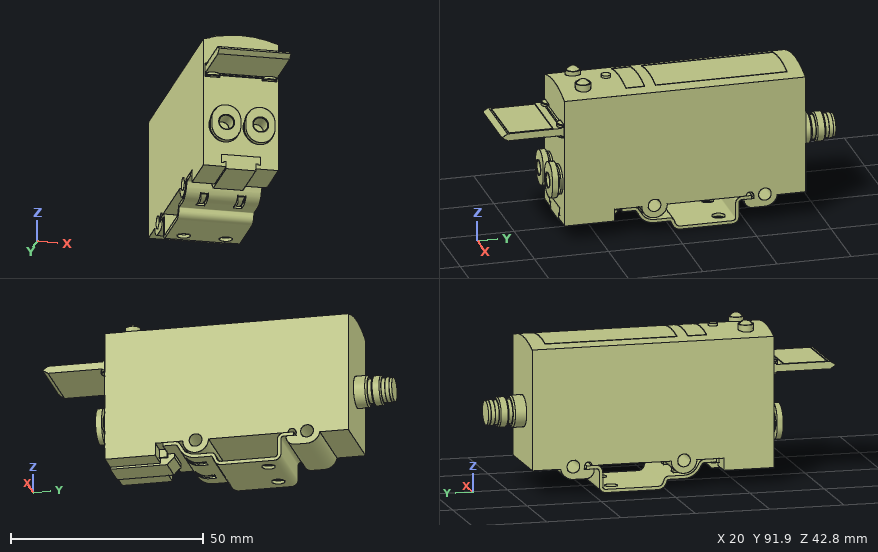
import cadquery as cq
import math


width = 20.0
half_width = width / 2
length = 65.1
edge_z = 35.6
crown_z = 37.2
ledge = 0.3
foot_z = 0.55
foot_length = 13.5
belly_z = 3.9
rear_belly_z = 3.3

lug_hole_diameter = 3.4
lug_radius = 3.45
lug_z = belly_z
front_lug_y = 24.3
rear_lug_y = 54.0
hook_bottom_z = lug_z - lug_radius
hook_tip_y = 48.4
hook_tip_radius = 2.3
hook_slot_end_y = 51.1
hook_relief_diameter = 2.0
hook_relief_y = 50.0

panel_width = 14.1
panel_depth = 0.1
panel_spans = [(17.4, 22.4), (25.4, 60.8)]
button_diameter = 4.0
button_spacing = 9.9
button_y = 6.3
button_rim_z = 38.2
button_ledge = 0.3
button_top_z = 39.2
lamp_diameter = 2.5
lamp_y = 13.9
lamp_top_z = 37.9

shelf_width = 19.2
shelf_z = 26.9
shelf_thickness = 2.0
shelf_reach = 16.8
shelf_bevel_length = 1.6
shelf_root_thickness = 2.6
shelf_root_reach = 0.8
shelf_root_chamfer = 0.23
ear_chord = 4.0
ear_bulge = 1.5
ear_height = 3.7
ear_chamfer = 0.2
label_width = 18.0
label_near = 2.85
label_far = 14.7
label_depth = 0.2

port_spacing = 9.1
port_z = 11.8
port_hole_diameter = 3.9
port_hole_chamfer = 0.2
port_hole_depth = 5.5
port_collar_diameter = 8.0
port_collar_reach = 0.55
port_neck_diameter = 5.2
port_cap_width = 7.7
port_cap_height = 9.7
port_cap_near = 1.2
port_cap_far = 3.1
port_cap_fall = 0.4

overall_length = 91.9
connector_z = 17.3
connector_length = overall_length - shelf_reach - length
connector_core_diameter = 6.5
connector_base_diameter = 8.5
connector_base_length = 3.5
connector_base_chamfer = 0.5
connector_collar_diameter = 8.0
connector_collar_start = 4.6
connector_collar_length = 2.6
connector_collar_chamfer = 0.4
connector_ridge_diameter = 6.9
connector_ridge_start = 8.2
connector_ridge_length = 1.3
connector_ridge_lead = 0.6

latch_stem_width = 7.9
latch_head_width = 10.3
latch_lip_width = 0.55
latch_lip_drop = 0.3
latch_head_bottom_z = 1.9
latch_head_length = 15.5
latch_length = 17.2
latch_nose_bevel = 1.9

strip_thickness = 0.9
strip_bottom_z = -3.6
strip_step_z = -1.0
strip_rear_y = 50.45
strip_drop_y = 46.6
strip_ramp_bottom_y = 30.0
strip_ramp_top_y = 28.95
strip_bend_radius = 1.3
strip_ramp_radius = 1.9
strip_step_radius = 0.7
strip_lug_turn = 60
strip_hole_diameter = 3.4
strip_hole_spacing = 11.2
strip_hole_y = 42.7

pad_spacing = 9.9
pad_width = 2.2
pad_tip_width = 1.1
pad_front_y = 20.95
pad_rear_y = 26.1
pad_taper_z = 0.9
pad_clearance = 0.2
pad_radius = lug_z - strip_step_z - pad_clearance


def box(x_size, y_range, z_range, x_mid=0.0):
    """Box centred on x_mid that spans the given Y and Z ranges."""
    y0, y1 = y_range
    z0, z1 = z_range
    block = cq.Workplane("XY").box(x_size, y1 - y0, z1 - z0, centered=(True, False, False))
    return block.translate((x_mid, y0, z0))


def disc(diameter, x, y, z_range):
    """Upright cylinder."""
    z0, z1 = z_range
    return cq.Workplane("XY").center(x, y).circle(diameter / 2).extrude(z1 - z0).translate((0, 0, z0))


def cross_rod(diameter, y, z):
    """Cylinder across the full housing width."""
    return cq.Workplane("YZ").center(y, z).circle(diameter / 2).extrude(half_width, both=True)


def side_prism(profile, prism_width):
    """Extrude a closed YZ profile evenly to both sides of the mid-plane."""
    return profile.extrude(prism_width / 2, both=True)


def lug_pad(x):
    """Tapered pad on the front lug, rounded about the lug axis."""
    half = pad_width / 2
    half_tip = pad_tip_width / 2
    tip_z = lug_z - pad_radius
    section = cq.Workplane("XZ", origin=(x, pad_front_y, 0)).polyline([
        (-half_tip, tip_z), (half_tip, tip_z), (half, pad_taper_z),
        (half, lug_z), (-half, lug_z), (-half, pad_taper_z),
    ]).close()
    bar = section.extrude(pad_front_y - pad_rear_y)
    return bar.intersect(cross_rod(2 * pad_radius, front_lug_y, lug_z))


def arched_section(drop=0.0):
    """Full-length block with an arched top that is lowered by drop."""
    return (
        cq.Workplane("XZ")
        .moveTo(-half_width, foot_z)
        .lineTo(half_width, foot_z)
        .lineTo(half_width, edge_z - drop)
        .lineTo(half_width - ledge, edge_z - drop)
        .threePointArc((0, crown_z - drop), (-half_width + ledge, edge_z - drop))
        .lineTo(-half_width, edge_z - drop)
        .close()
        .extrude(-length)
    )


def housing_shell():
    """Arched block with its stepped underside and both lugs."""
    rear_lug_edge_y = rear_lug_y + math.sqrt(lug_radius**2 - (lug_z - rear_belly_z) ** 2)
    shell = arched_section()
    shell = shell.cut(box(width, (foot_length, length), (foot_z - 0.9, belly_z)))
    shell = shell.union(box(width, (rear_lug_edge_y, length), (rear_belly_z, belly_z + 0.9)))
    shell = shell.union(cross_rod(2 * lug_radius, front_lug_y, lug_z))
    return shell.union(rear_hook(rear_lug_edge_y))


def rear_hook(lug_edge_y):
    """Rear lug drawn out into a hook that holds the bracket end."""
    jaw_z = belly_z - strip_thickness
    arc_angle = math.radians(45)
    tip_centre_y = hook_tip_y + hook_tip_radius
    tip_centre_z = hook_bottom_z + hook_tip_radius
    profile = (
        cq.Workplane("YZ")
        .moveTo(lug_edge_y, belly_z + 0.9)
        .lineTo(lug_edge_y, rear_belly_z)
        .threePointArc(
            (rear_lug_y + lug_radius * math.cos(arc_angle), lug_z - lug_radius * math.sin(arc_angle)),
            (rear_lug_y, hook_bottom_z),
        )
        .lineTo(tip_centre_y, hook_bottom_z)
        .threePointArc(
            (tip_centre_y - hook_tip_radius * math.cos(arc_angle), tip_centre_z - hook_tip_radius * math.sin(arc_angle)),
            (hook_tip_y, tip_centre_z),
        )
        .lineTo(hook_tip_y, jaw_z)
        .lineTo(hook_slot_end_y, jaw_z)
        .lineTo(hook_slot_end_y, belly_z + 0.9)
        .close()
    )
    return side_prism(profile, width)


def side_holes():
    """Cross holes through both lugs and the relief above the hook slot."""
    holes = cross_rod(lug_hole_diameter, front_lug_y, lug_z)
    holes = holes.union(cross_rod(lug_hole_diameter, rear_lug_y, lug_z))
    relief_radius = hook_relief_diameter / 2
    relief = cross_rod(hook_relief_diameter, hook_relief_y, belly_z)
    return holes.union(relief.intersect(box(width, (0, length), (belly_z, belly_z + relief_radius))))


def top_panels():
    """Thin slices of the arched top that are removed to leave the two panels."""
    skin = arched_section().cut(arched_section(panel_depth))
    panels = cq.Workplane("XY")
    for span in panel_spans:
        panels = panels.add(box(panel_width, span, (edge_z, crown_z)))
    return skin.intersect(panels.combine())


def button(x):
    """Push button with a domed top."""
    radius = button_diameter / 2
    profile = (
        cq.Workplane("XZ", origin=(x, button_y, 0))
        .moveTo(0, edge_z)
        .lineTo(radius, edge_z)
        .lineTo(radius, button_rim_z)
        .lineTo(radius - button_ledge, button_rim_z)
        .radiusArc((0, button_top_z), -dome_radius())
        .close()
    )
    return profile.revolve(360, (0, 0), (0, 1))


def dome_radius():
    """Radius of the sphere through the inner edge of the button rim and the top of its dome."""
    rise = button_top_z - button_rim_z
    base_radius = button_diameter / 2 - button_ledge
    return (base_radius**2 + rise**2) / (2 * rise)


def shelf():
    """Wedge-tipped shelf with a thicker root, a sunken label and two ears."""
    top_z = shelf_z + shelf_thickness / 2
    bottom_z = shelf_z - shelf_thickness / 2
    bevel_y = shelf_bevel_length - shelf_reach
    profile = cq.Workplane("YZ").polyline(
        [(0, bottom_z), (0, top_z), (bevel_y, top_z), (-shelf_reach, shelf_z), (bevel_y, bottom_z)]
    ).close()
    plate = side_prism(profile, shelf_width)
    plate = plate.cut(box(label_width, (-label_far, -label_near), (top_z - label_depth, top_z)))
    half_root = shelf_root_thickness / 2
    root = box(shelf_width, (-shelf_root_reach, 0), (shelf_z - half_root, shelf_z + half_root))
    plate = plate.union(root.faces("<Y").edges("|X").chamfer(shelf_root_chamfer))
    ear_x = (shelf_width - ear_chord) / 2
    for x in (-ear_x, ear_x):
        plate = plate.union(ear(x))
    return plate


def ear(x):
    """Bulging ear on the housing face at one end of the shelf root."""
    return (
        cq.Workplane("XY", origin=(x, 0, shelf_z - ear_height / 2))
        .moveTo(-ear_chord / 2, 0)
        .threePointArc((0, -ear_bulge), (ear_chord / 2, 0))
        .close()
        .extrude(ear_height)
        .faces("|Z")
        .edges("%CIRCLE")
        .chamfer(ear_chamfer)
    )


def port(x):
    """Fibre port: collar, neck and an oblong cap with a shallow conical face."""
    face = cq.Workplane("XZ", origin=(x, 0, port_z))
    body = face.circle(port_collar_diameter / 2).extrude(port_collar_reach)
    body = body.union(face.circle(port_neck_diameter / 2).extrude(port_cap_near))
    cap = face.workplane(offset=port_cap_near).slot2D(port_cap_height, port_cap_width, 90)
    cap = cap.extrude(port_cap_far - port_cap_near)
    cone = (
        cq.Workplane("XY", origin=(x, 0, port_z))
        .polyline([
            (0, 0), (port_cap_height / 2, 0), (port_cap_height / 2, port_cap_fall - port_cap_far),
            (port_hole_diameter / 2 + port_hole_chamfer, -port_cap_far), (0, -port_cap_far),
        ])
        .close()
        .revolve(360, (0, 0), (0, 1))
    )
    return body.union(cap.intersect(cone))


def port_hole(x):
    """Blind fibre hole into a port, with a bevelled mouth."""
    mouth_radius = port_hole_diameter / 2 + port_hole_chamfer
    mouth = cq.Solid.makeCone(
        mouth_radius, mouth_radius - port_hole_chamfer, port_hole_chamfer,
        pnt=cq.Vector(x, -port_cap_far, port_z), dir=cq.Vector(0, 1, 0),
    )
    hole = (
        cq.Workplane("XZ", origin=(x, -port_cap_far, port_z))
        .circle(port_hole_diameter / 2)
        .extrude(-port_hole_depth)
    )
    return hole.union(cq.Workplane(mouth))


def connector():
    """Round plug on the rear face."""
    def barrel(diameter, start, barrel_length):
        return (
            cq.Workplane("XZ", origin=(0, length + start, connector_z))
            .circle(diameter / 2)
            .extrude(-barrel_length)
        )

    plug = barrel(connector_core_diameter, 0, connector_length)
    base = barrel(connector_base_diameter, 0, connector_base_length)
    plug = plug.union(base.faces(">Y").chamfer(connector_base_chamfer))
    collar = barrel(connector_collar_diameter, connector_collar_start, connector_collar_length)
    plug = plug.union(collar.edges().chamfer(connector_collar_chamfer))
    ridge = barrel(connector_ridge_diameter, connector_ridge_start, connector_ridge_length)
    ridge_height = (connector_ridge_diameter - connector_core_diameter) / 2
    return plug.union(ridge.faces(">Y").chamfer(ridge_height, connector_ridge_lead))


def make_latch():
    """T-shaped rail latch with hooked head edges and a bevelled nose."""
    stem_x = latch_stem_width / 2
    head_x = latch_head_width / 2
    lip_x = head_x - latch_lip_width
    lip_z = latch_head_bottom_z - latch_lip_drop
    right_edge = [
        (stem_x, latch_head_bottom_z), (lip_x, latch_head_bottom_z), (lip_x, lip_z), (head_x, lip_z), (head_x, belly_z)
    ]
    left_edge = [(-x, z) for x, z in reversed(right_edge)]
    head = cq.Workplane("XZ").polyline(right_edge + left_edge).close().extrude(-latch_head_length)
    nose_top_z = belly_z - strip_thickness
    stem_profile = cq.Workplane("YZ").polyline([
        (0, 0), (latch_length - latch_nose_bevel, 0), (latch_length, latch_nose_bevel),
        (latch_length, nose_top_z), (0, nose_top_z),
    ]).close()
    return head.union(side_prism(stem_profile, latch_stem_width))


def bent_path(points, radii):
    """YZ path through points, with each inner corner rounded to its radius."""
    path = cq.Workplane("YZ").moveTo(*points[0])
    for before, corner, after, radius in zip(points, points[1:], points[2:], radii):
        to_before = (cq.Vector(*before) - cq.Vector(*corner)).normalized()
        to_after = (cq.Vector(*after) - cq.Vector(*corner)).normalized()
        half_angle = to_before.getAngle(to_after) / 2
        setback = radius / math.tan(half_angle)
        bisector = (to_before + to_after).normalized()
        arc_start = cq.Vector(*corner) + to_before * setback
        arc_mid = cq.Vector(*corner) + bisector * (radius / math.sin(half_angle) - radius)
        arc_end = cq.Vector(*corner) + to_after * setback
        path = path.lineTo(arc_start.x, arc_start.y)
        path = path.threePointArc((arc_mid.x, arc_mid.y), (arc_end.x, arc_end.y))
    return path.lineTo(*points[-1])


def make_bracket():
    """Bent spring strip from the rear hook, down, round the front lug and up to the latch."""
    half = strip_thickness / 2
    top_z = belly_z - half
    bottom_z = strip_bottom_z + half
    step_z = strip_step_z + half
    wrap_radius = lug_z - step_z
    turn = math.radians(strip_lug_turn)
    wrap_y = front_lug_y - wrap_radius * math.tan(turn / 2)
    crest_y = wrap_y - (top_z - step_z) / math.tan(turn)
    points = [
        (strip_rear_y, top_z),
        (strip_drop_y, top_z),
        (strip_drop_y, bottom_z),
        (strip_ramp_bottom_y, bottom_z),
        (strip_ramp_top_y, step_z),
        (wrap_y, step_z),
        (crest_y, top_z),
        (latch_head_length, top_z),
    ]
    bend = strip_bend_radius
    radii = [bend, bend, strip_ramp_radius, strip_step_radius, wrap_radius, bend]
    section = cq.Workplane("XZ", origin=(0, strip_rear_y, top_z)).rect(width, strip_thickness)
    strip = section.sweep(bent_path(points, radii))
    for side in (-1, 1):
        hole_x = side * strip_hole_spacing / 2
        strip = strip.cut(disc(strip_hole_diameter, hole_x, strip_hole_y, (strip_bottom_z, bottom_z + half)))
        strip = strip.cut(box(pad_width, (pad_front_y, pad_rear_y), (strip_step_z, lug_z), side * pad_spacing / 2))
    return strip


def make_housing():
    """Housing with its pads, controls, shelf, ports and connector."""
    body = housing_shell()
    for side in (-1, 1):
        body = body.union(lug_pad(side * pad_spacing / 2))
    body = body.cut(side_holes())
    body = body.cut(top_panels())
    body = body.union(disc(lamp_diameter, 0, lamp_y, (edge_z, lamp_top_z)))
    for side in (-1, 1):
        body = body.union(button(side * button_spacing / 2))
        body = body.union(port(side * port_spacing / 2))
        body = body.cut(port_hole(side * port_spacing / 2))
    return body.union(shelf()).union(connector())


latch = make_latch()
bracket = make_bracket()
housing = make_housing().cut(latch)

result = cq.Compound.makeCompound([housing.solids().val(), latch.solids().val(), bracket.solids().val()])